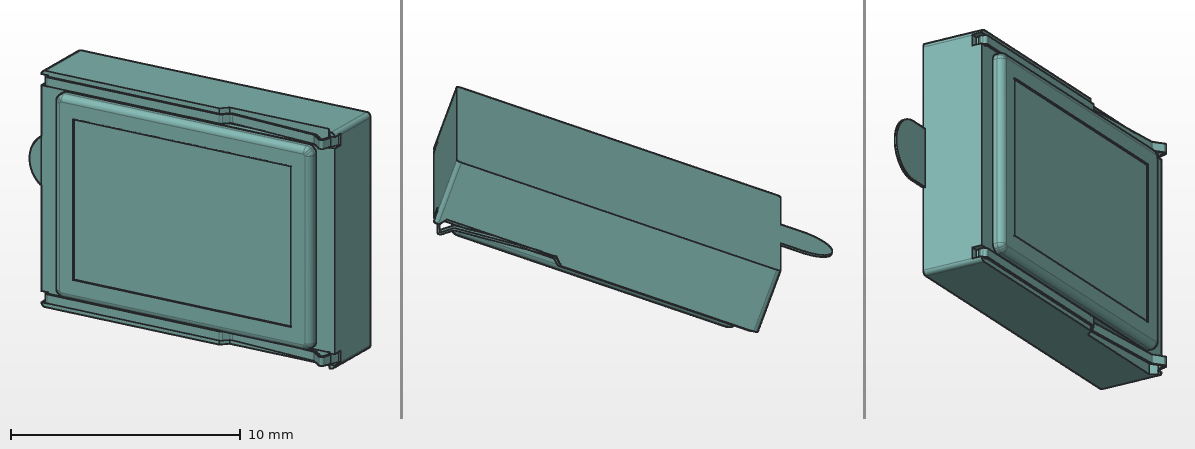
import cadquery as cq
total_length = 17.38
case_length = 15.0
case_depth = 2.99
case_height = 11.0
case_corner_radius = 0.2
case_left = total_length - case_length
case_centre_x = case_left + case_length / 2

panel_length = 13.12
panel_height = 9.47
panel_rise = 0.5
panel_corner_chamfer = 0.25
panel_edge_radius = 0.3
screen_length = 11.14
screen_height = 7.47
screen_recess = 0.09

tab_height = 2.78
tab_thickness = 0.1
tab_radius = tab_height / 2

clip_thickness = 0.1
clip_width = 0.42
clip_edge_distance = 0.45
clip_z = case_height / 2 - clip_edge_distance
clip_gentle_bend_radius = 0.17
clip_leg_bend_radius = 0.1
clip_tight_bend_radius = 0.09
clip_leg_x = 2.62
clip_foot_y = 0.28
clip_ramp_start_x = 11.58
clip_ramp_end_x = 11.92
clip_crest_x = 16.4
clip_hump_x = 16.98
clip_hump_y = -0.5
clip_tip_x = 17.14
clip_tip_y = -0.02

relief_depth = 0.33
relief_height = 0.75
relief_start_x = 11.49
relief_floor_start_x = 11.8
relief_floor_end_x = 16.88
relief_end_x = 17.12

pocket_width = 0.52
pocket_depth = 0.49
pocket_end_x = 2.73
notch_floor_start_x = 17.3


def block(x_start, x_end, y_start, y_end, height, z_centre=0.0):
    """Box given by its X and Y limits, its height and the Z of its middle."""
    corner = (x_start, y_start, z_centre - height / 2)
    return cq.Workplane("XY").box(x_end - x_start, y_end - y_start, height, centered=False).translate(corner)


def prism(outline, height, z_centre):
    """XY outline extruded along Z, half the height to each side of z_centre."""
    base = cq.Workplane("XY", origin=(0, 0, z_centre - height / 2))
    return base.polyline(outline).close().extrude(height)


def make_display_panel():
    panel_left = case_centre_x - panel_length / 2
    panel = block(panel_left, panel_left + panel_length, -panel_rise, 0, panel_height)
    panel = panel.edges("|Y").chamfer(panel_corner_chamfer)
    panel = panel.edges("|Y").fillet(panel_edge_radius)
    panel = panel.faces("<Y").edges().fillet(panel_edge_radius)
    screen_left = case_centre_x - screen_length / 2
    screen = block(
        screen_left, screen_left + screen_length, -panel_rise, -panel_rise + screen_recess, screen_height
    )
    return panel.cut(screen)


def make_tab():
    tab = block(0, case_left, case_depth - tab_thickness, case_depth, tab_height)
    rounded_end = (
        cq.Workplane("XZ", origin=(tab_radius, case_depth, 0)).circle(tab_radius).extrude(tab_thickness)
    )
    square_end = block(0, tab_radius, case_depth - tab_thickness, case_depth, tab_height)
    return tab.cut(square_end).union(rounded_end)


def make_clip_seat(side):
    """Material removed for one clip: edge relief, foot pocket and tip notch."""
    relief_outline = [
        (relief_start_x, 0),
        (relief_floor_start_x, relief_depth),
        (relief_floor_end_x, relief_depth),
        (relief_end_x, 0),
    ]
    relief = prism(relief_outline, relief_height, side * (case_height - relief_height) / 2)
    pocket = block(case_left, pocket_end_x, 0, pocket_depth, pocket_width, side * clip_z)
    notch_outline = [
        (relief_end_x, 0),
        (notch_floor_start_x, pocket_depth),
        (total_length, pocket_depth),
        (total_length, 0),
    ]
    notch = prism(notch_outline, pocket_width, side * clip_z)
    return relief, pocket, notch


def make_case():
    case = block(case_left, total_length, 0, case_depth, case_height)
    case = case.edges("|Y").fillet(case_corner_radius)
    case = case.union(make_display_panel()).union(make_tab())
    for side in (1, -1):
        for removed in make_clip_seat(side):
            case = case.cut(removed)
    return case


def make_clip(side):
    """Bent strip swept along its centre line, from the foot to the free tip."""
    z = side * clip_z
    half_thickness = clip_thickness / 2
    path_points = [
        (pocket_end_x, clip_foot_y),
        (clip_leg_x, clip_foot_y),
        (clip_leg_x, -half_thickness),
        (clip_ramp_start_x, -half_thickness),
        (clip_ramp_end_x, relief_depth - half_thickness),
        (clip_crest_x, -half_thickness),
        (clip_hump_x, clip_hump_y),
        (clip_tip_x, clip_tip_y),
    ]
    path = cq.Wire.makePolygon([cq.Vector(x, y, z) for x, y in path_points])
    path = path.fillet(clip_gentle_bend_radius, path.Vertices()[3:6])
    path = path.fillet(clip_leg_bend_radius, [path.Vertices()[2]])
    path = path.fillet(clip_tight_bend_radius, [path.Vertices()[1], path.Vertices()[-2]])
    section = cq.Workplane("YZ", origin=(pocket_end_x, clip_foot_y, z)).rect(clip_thickness, clip_width)
    return section.sweep(cq.Workplane(path))


case = make_case()
clips = [make_clip(side) for side in (1, -1)]

result = cq.Compound.makeCompound([case.val()] + [clip.val() for clip in clips])